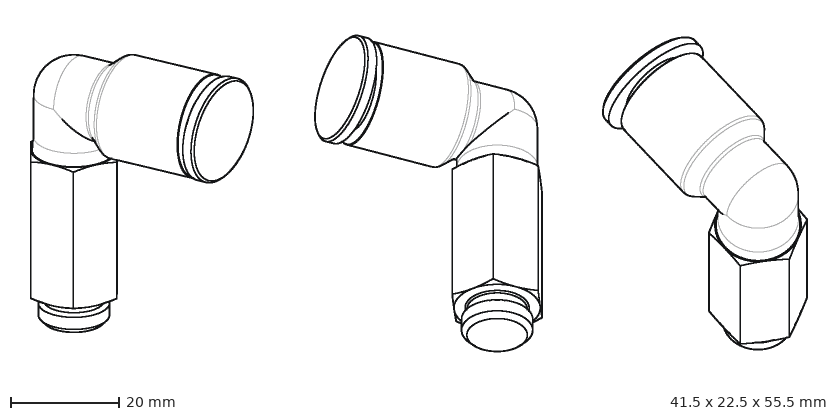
import cadquery as cq
import math


height = 55.5
length = 41.45

hex_flats = 16.0
hex_corners = hex_flats * 2 / math.sqrt(3)
hex_bottom = 6.0
hex_top = 34.5
hex_chamfer_radius = hex_flats / 2
hex_chamfer_angle = math.radians(20)

plug_radius = 6.6
plug_tip_radius = 5.6
plug_tip_height = 1.05
plug_top = 3.5
plug_neck_radius = 5.6
plug_neck_bottom = 4.0
plug_neck_flare = 0.35

elbow_radius = 7.5
collar_radius = 7.75
collar_top = 37.2

sleeve_radius = 9.9
sleeve_start = 7.3
sleeve_full = 10.25
sleeve_end = 28.15
shoulder_fillet = 1.0
sleeve_edge = 0.1
outlet_z = height - sleeve_radius

ring_end = length - hex_corners / 2
ring_start = 30.0
ring_width = 22.5
ring_height = 19.4
ring_edge = 0.45
ring_neck_radius = 7.1


def outlet_plane(x):
    """Plane square to the outlet axis: local x is Y, local y is Z."""
    return cq.Workplane("YZ", origin=(x, 0, outlet_z))


def make_hexagon():
    """Hexagonal bar with its corners cut by a cone at both ends."""
    corner_radius = hex_corners / 2
    chamfer_drop = (corner_radius - hex_chamfer_radius) * math.tan(hex_chamfer_angle)
    bar = (
        cq.Workplane("XY", origin=(0, 0, hex_bottom))
        .polygon(6, hex_corners)
        .extrude(hex_top - hex_bottom)
    )
    envelope = (
        cq.Workplane("XY", origin=(0, 0, hex_bottom))
        .circle(corner_radius)
        .extrude(hex_top - hex_bottom)
        .faces("<Z or >Z")
        .chamfer(chamfer_drop, corner_radius - hex_chamfer_radius)
    )
    return bar.intersect(envelope)


def make_plug():
    """Grooved round plug, turned about the stem axis."""
    profile = [
        (0, 0),
        (plug_tip_radius, 0),
        (plug_radius, plug_tip_height),
        (plug_radius, plug_top),
        (plug_neck_radius, plug_neck_bottom),
        (plug_neck_radius, hex_bottom - plug_neck_flare),
        (plug_neck_radius + plug_neck_flare, hex_bottom),
        (0, hex_bottom),
    ]
    return cq.Workplane("XZ").polyline(profile).close().revolve(360, (0, 0), (0, 1))


def make_elbow():
    """Mitred round elbow with a ball corner and a tapered collar at its foot."""
    collar = (
        cq.Workplane("XY", origin=(0, 0, hex_top))
        .circle(collar_radius)
        .workplane(offset=collar_top - hex_top)
        .circle(elbow_radius)
        .loft()
    )
    upright = cq.Workplane("XY", origin=(0, 0, hex_top)).circle(elbow_radius).extrude(outlet_z - hex_top)
    ball = cq.Workplane("XY", origin=(0, 0, outlet_z)).sphere(elbow_radius)
    arm = outlet_plane(0).circle(elbow_radius).extrude(sleeve_start)
    return upright.union(arm).union(ball).union(collar)


def make_sleeve():
    """Round sleeve with a blended conical shoulder, turned about the outlet axis."""
    profile = [
        (0, 0),
        (0, elbow_radius),
        (sleeve_start, elbow_radius),
        (sleeve_full, sleeve_radius),
        (sleeve_end, sleeve_radius),
        (sleeve_end, 0),
    ]
    sleeve = (
        cq.Workplane("XZ", origin=(0, 0, outlet_z))
        .polyline(profile)
        .close()
        .revolve(360, (0, 0), (1, 0))
    )
    shoulder_ends = sleeve.faces("%CONE").edges("%CIRCLE")
    sleeve = shoulder_ends.fillet(shoulder_fillet)
    return sleeve.faces(">X").chamfer(sleeve_edge)


def make_release_ring():
    """Oval ring on a round neck, with a bevelled front edge."""
    neck = outlet_plane(sleeve_end).circle(ring_neck_radius).extrude(ring_start - sleeve_end)
    ring = (
        outlet_plane(ring_start)
        .ellipse(ring_width / 2, ring_height / 2)
        .extrude(ring_end - ring_start)
        .faces(">X")
        .chamfer(ring_edge)
    )
    return neck.union(ring)


result = make_hexagon()
for section in (make_plug(), make_elbow(), make_sleeve(), make_release_ring()):
    result = result.union(section)